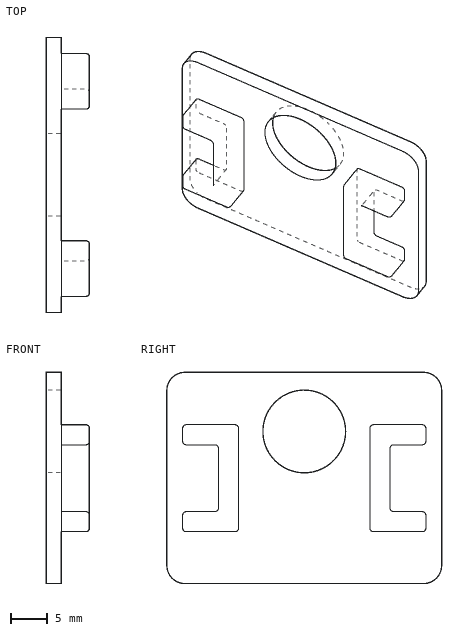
import cadquery as cq

plate_thickness = 2.1
plate_width = 37.3
plate_height = 28.7
plate_corner_radius = 2.5

window_diameter = 11.2
window_center_z = 6.3

boss_height = 3.8
boss_width = 7.57
boss_length = 14.5
boss_side_margin = 2.15
boss_wall = 2.72
boss_center_z = -0.05
boss_edge_radius = 0.5


def make_plate():
    """Rounded rectangle with the round window cut through it."""
    plate = (
        cq.Workplane("YZ")
        .rect(plate_width, plate_height)
        .extrude(plate_thickness)
        .edges("|X")
        .fillet(plate_corner_radius)
    )
    window = (
        cq.Workplane("YZ")
        .center(0, window_center_z)
        .circle(window_diameter / 2)
        .extrude(plate_thickness)
    )
    return plate.cut(window)


def make_boss(side):
    """C-shaped boss on one side of the plate: side is +1 for +Y, -1 for -Y."""
    inner_plane = cq.Workplane("YZ", origin=(plate_thickness, 0, 0))
    boss_center_y = side * (plate_width / 2 - boss_side_margin - boss_width / 2)
    block = (
        inner_plane.center(boss_center_y, boss_center_z)
        .rect(boss_width, boss_length)
        .extrude(boss_height)
    )

    notch_center_y = boss_center_y + side * boss_wall / 2
    notch = (
        inner_plane.center(notch_center_y, boss_center_z)
        .rect(boss_width - boss_wall, boss_length - 2 * boss_wall)
        .extrude(boss_height)
    )

    boss = block.cut(notch).edges("|X").fillet(boss_edge_radius)
    return boss.faces(">X").edges().fillet(boss_edge_radius)


result = make_plate()
for side in (-1, 1):
    result = result.union(make_boss(side))